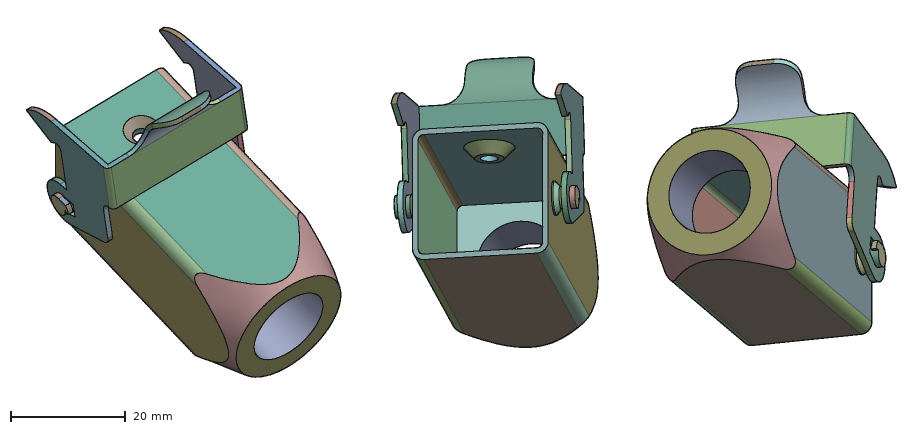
import cadquery as cq
import math

HOUSING_LENGTH = 51.5
HOUSING_SIDE = 24.0
HOUSING_CORNER_RADIUS = 2.0
WALL = 1.0
CAVITY_CORNER_RADIUS = HOUSING_CORNER_RADIUS - WALL
CAVITY_DEPTH = 39.1
CABLE_HOLE_DIAMETER = 15.0
HALF_SIDE = HOUSING_SIDE / 2
CAVITY_SIDE = HOUSING_SIDE - 2 * WALL

CONE_FLAT_X = 50.1
CONE_RUN_PER_RADIUS = 2.5

SCREW_X = 9.0
SCREW_HOLE_DIAMETER = 3.1
COUNTERSINK_DIAMETER = 6.35
COUNTERSINK_ANGLE = 90
BOSS_HEIGHT = 2.0
BOSS_TOP_RADIUS = 4.45
BOSS_BOTTOM_RADIUS = 2.55

PIVOT = (0, 0)
PIN_X = 6.1
PIN_RADIUS = 2.0
PIN_FLARE_RADIUS = 3.0
FLARE_RIM_HEIGHT = 0.3
FLARE_HEIGHT = 1.2
PIN_SPAN = 32.0
KEY_START_ANGLE = 8.0
KEY_END_ANGLE = 45.0

LEVER_WIDTH = 30.0
SHEET = 1.0
LEVER_TILT = 10.0
EYE_RADIUS = 4.5
LEVER_TOP = 20.0
BRIDGE_BOTTOM = 10.0
BRIDGE_INNER = 15.4
BRIDGE_OUTER = BRIDGE_INNER + SHEET
ARM_FRONT = 1.95
ARM_BACK = 13.4
ARM_HEEL_RADIUS = 2.0
ARM_NECK_RADIUS = BRIDGE_INNER - ARM_BACK
LOWER_EDGE_ANGLE = 17.5
HOOK_TIP = (-7.75, 17.15)
HOOK_TIP_RADIUS = 0.2
HOOK_TOP_START = 0.1
HOOK_HEEL = (-0.9, 14.1)
HOOK_HEEL_RADIUS = 0.5
NOTCH_RADIUS = 1.0
NOTCH_CENTRE_HEIGHT = 14.05
NOTCH_RAMP_ANGLE = 33.5
EYE_HOLE_END = 3.4

TAB_WIDTH = 12.0
TAB_INNER_RADIUS = 8.0
TAB_SWEEP = 77.6
TAB_CORNER_RADIUS = 4.0


def polar(centre, radius, degrees):
    """Point at an angle on a circle."""
    angle = math.radians(degrees)
    return (centre[0] + radius * math.cos(angle), centre[1] + radius * math.sin(angle))


def tangent_height(radius, position):
    """Height, at a position, of the sloped line touching the lower side of a pivot-centred circle."""
    slope = math.radians(LOWER_EDGE_ANGLE)
    return (position * math.sin(slope) - radius) / math.cos(slope)


def make_housing():
    """Square tube with a closed, cone-trimmed rear end and a round cable hole."""
    body = (
        cq.Workplane("YZ")
        .rect(HOUSING_SIDE, HOUSING_SIDE)
        .extrude(HOUSING_LENGTH)
        .edges("|X")
        .fillet(HOUSING_CORNER_RADIUS)
    )
    mouth_radius = HALF_SIDE + CONE_FLAT_X / CONE_RUN_PER_RADIUS
    end_radius = HALF_SIDE - (HOUSING_LENGTH - CONE_FLAT_X) / CONE_RUN_PER_RADIUS
    cone = cq.Workplane(
        cq.Solid.makeCone(
            mouth_radius, end_radius, HOUSING_LENGTH, cq.Vector(0, 0, 0), cq.Vector(1, 0, 0)
        )
    )
    cavity = (
        cq.Workplane("YZ")
        .rect(CAVITY_SIDE, CAVITY_SIDE)
        .extrude(CAVITY_DEPTH)
        .edges("|X")
        .fillet(CAVITY_CORNER_RADIUS)
    )
    cable_hole = cq.Workplane("YZ").circle(CABLE_HOLE_DIAMETER / 2).extrude(HOUSING_LENGTH)
    return body.intersect(cone).cut(cavity).cut(cable_hole)


def add_screw_hole(housing):
    """Conical boss under the ceiling with a countersunk hole through it."""
    ceiling = CAVITY_SIDE / 2
    boss = cq.Workplane(
        cq.Solid.makeCone(
            BOSS_TOP_RADIUS, BOSS_BOTTOM_RADIUS, BOSS_HEIGHT,
            cq.Vector(SCREW_X, 0, ceiling), cq.Vector(0, 0, -1),
        )
    )
    hole_depth = WALL + BOSS_HEIGHT
    return (
        housing.union(boss)
        .copyWorkplane(cq.Workplane("XY", origin=(SCREW_X, 0, HALF_SIDE)))
        .cskHole(SCREW_HOLE_DIAMETER, COUNTERSINK_DIAMETER, COUNTERSINK_ANGLE, hole_depth)
    )


def make_pin():
    """Pivot pin on the -Y side: flared foot, round shank and a keyed head."""
    foot = HALF_SIDE
    embedded_foot = foot - WALL / 2
    tip = PIN_SPAN / 2
    shank = (
        cq.Workplane("XY")
        .moveTo(0, -embedded_foot)
        .lineTo(PIN_FLARE_RADIUS, -embedded_foot)
        .lineTo(PIN_FLARE_RADIUS, -foot - FLARE_RIM_HEIGHT)
        .lineTo(PIN_RADIUS, -foot - FLARE_HEIGHT)
        .lineTo(PIN_RADIUS, -tip)
        .lineTo(0, -tip)
        .close()
        .revolve(360, (0, 0, 0), (0, 1, 0))
    )
    key = (
        cq.Workplane("XZ", origin=(0, -LEVER_WIDTH / 2, 0))
        .moveTo(*polar(PIVOT, PIN_RADIUS, 90 + LEVER_TILT))
        .lineTo(*polar(PIVOT, PIN_FLARE_RADIUS, KEY_END_ANGLE))
        .threePointArc(
            polar(PIVOT, PIN_FLARE_RADIUS, (KEY_START_ANGLE + KEY_END_ANGLE) / 2),
            polar(PIVOT, PIN_FLARE_RADIUS, KEY_START_ANGLE),
        )
        .lineTo(0, PIN_FLARE_RADIUS * math.sin(math.radians(KEY_START_ANGLE)))
        .close()
        .extrude((PIN_SPAN - LEVER_WIDTH) / 2)
    )
    return shank.union(key)


def make_arms():
    """Both lever arms and the flat bridge between them."""
    heel = (ARM_BACK, tangent_height(EYE_RADIUS, ARM_BACK))
    notch_centre = (ARM_FRONT - NOTCH_RADIUS, NOTCH_CENTRE_HEIGHT)
    neck_centre = (BRIDGE_INNER, BRIDGE_BOTTOM - ARM_NECK_RADIUS)
    outline = (
        cq.Workplane("XZ", origin=(0, LEVER_WIDTH / 2, 0))
        .moveTo(*polar(PIVOT, EYE_RADIUS, LOWER_EDGE_ANGLE - 90))
        .lineTo(*heel)
        .lineTo(ARM_BACK, neck_centre[1])
        .threePointArc(polar(neck_centre, ARM_NECK_RADIUS, 135), (BRIDGE_INNER, BRIDGE_BOTTOM))
        .lineTo(BRIDGE_OUTER, BRIDGE_BOTTOM)
        .lineTo(BRIDGE_OUTER, LEVER_TOP)
        .lineTo(HOOK_TOP_START, LEVER_TOP)
        .tangentArcPoint(HOOK_TIP, relative=False)
        .lineTo(*HOOK_HEEL)
        .lineTo(*polar(notch_centre, NOTCH_RADIUS, 90 + NOTCH_RAMP_ANGLE))
        .threePointArc(polar(notch_centre, NOTCH_RADIUS, 45), (ARM_FRONT, NOTCH_CENTRE_HEIGHT))
        .lineTo(ARM_FRONT, EYE_RADIUS)
        .lineTo(0, EYE_RADIUS)
        .threePointArc((-EYE_RADIUS, 0), polar(PIVOT, EYE_RADIUS, LOWER_EDGE_ANGLE - 90))
        .close()
        .extrude(LEVER_WIDTH)
    )
    rounded_corners = (
        (heel, ARM_HEEL_RADIUS),
        (HOOK_HEEL, HOOK_HEEL_RADIUS),
        (HOOK_TIP, HOOK_TIP_RADIUS),
    )
    for place, radius in rounded_corners:
        corner = cq.NearestToPointSelector((place[0], 0, place[1]))
        outline = outline.edges(corner).fillet(radius)

    gap = cq.Workplane("XY").box(2 * BRIDGE_INNER, LEVER_WIDTH - 2 * SHEET, 4 * LEVER_TOP)
    bent = outline.cut(gap).edges("|Z and >X").fillet(SHEET)

    eye_hole = (
        cq.Workplane("XZ", origin=(0, LEVER_WIDTH / 2, 0))
        .moveTo(0, PIN_RADIUS)
        .lineTo(EYE_HOLE_END, PIN_RADIUS)
        .lineTo(EYE_HOLE_END, tangent_height(PIN_RADIUS, EYE_HOLE_END))
        .lineTo(*polar(PIVOT, PIN_RADIUS, LOWER_EDGE_ANGLE - 90))
        .threePointArc((-PIN_RADIUS, 0), (0, PIN_RADIUS))
        .close()
        .extrude(LEVER_WIDTH)
    )
    return bent.cut(eye_hole)


def add_tab(arms):
    """Curled strip above the bridge, flared at the root and rounded at the tip corners."""
    curl_centre = (BRIDGE_OUTER + TAB_INNER_RADIUS, LEVER_TOP)
    outer_radius = TAB_INNER_RADIUS + SHEET
    end_angle = 180 - TAB_SWEEP
    middle_angle = 180 - TAB_SWEEP / 2
    root_width = TAB_WIDTH + 2 * TAB_CORNER_RADIUS
    strip = (
        cq.Workplane("XZ", origin=(0, root_width / 2, 0))
        .moveTo(BRIDGE_INNER, LEVER_TOP)
        .threePointArc(
            polar(curl_centre, outer_radius, middle_angle), polar(curl_centre, outer_radius, end_angle)
        )
        .lineTo(*polar(curl_centre, TAB_INNER_RADIUS, end_angle))
        .threePointArc(
            polar(curl_centre, TAB_INNER_RADIUS, middle_angle), (BRIDGE_OUTER, LEVER_TOP)
        )
        .close()
        .extrude(root_width)
    )
    half_width = TAB_WIDTH / 2
    flare_centre = (root_width / 2, LEVER_TOP + TAB_CORNER_RADIUS)
    flare_middle = polar(flare_centre, TAB_CORNER_RADIUS, 225)
    tab_top = LEVER_TOP + outer_radius
    silhouette = (
        cq.Workplane("YZ", origin=(BRIDGE_INNER, 0, 0))
        .moveTo(-root_width / 2, LEVER_TOP)
        .lineTo(root_width / 2, LEVER_TOP)
        .threePointArc(flare_middle, (half_width, flare_centre[1]))
        .lineTo(half_width, tab_top)
        .lineTo(-half_width, tab_top)
        .lineTo(-half_width, flare_centre[1])
        .threePointArc((-flare_middle[0], flare_middle[1]), (-root_width / 2, LEVER_TOP))
        .close()
        .extrude(outer_radius)
    )
    tab = strip.intersect(silhouette)
    tip = polar(curl_centre, TAB_INNER_RADIUS + SHEET / 2, end_angle)
    for side in (-half_width, half_width):
        corner = cq.NearestToPointSelector((tip[0], side, tip[1]))
        tab = tab.edges(corner).fillet(TAB_CORNER_RADIUS)
    return arms.union(tab)


housing = add_screw_hole(make_housing())
lever = add_tab(make_arms()).rotate((0, 0, 0), (0, 1, 0), -LEVER_TILT).translate((PIN_X, 0, 0))
near_pin = make_pin().translate((PIN_X, 0, 0))
far_pin = near_pin.mirror("XZ")

result = housing.union(near_pin).union(far_pin).union(lever)